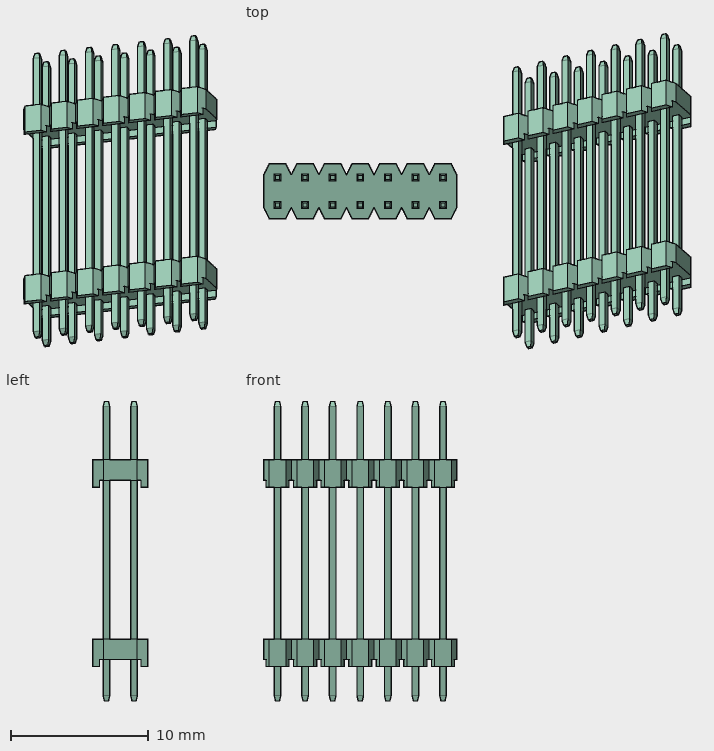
import cadquery as cq

pitch = 2.0
columns = 7
rows = 2

pin_length = 21.75
pin_width = 0.5
tip_width = 0.3
tip_length = 0.4

strip_length = columns * pitch
strip_depth = rows * pitch
strip_height = pitch
channel_width = 1.5 * pitch
channel_height = strip_height / 4

notch_half_width = pitch / 5
notch_depth = 2 * notch_half_width

lower_pin_exposure = 2.5
upper_pin_exposure = 4.25

lower_strip_z = lower_pin_exposure
upper_strip_z = pin_length - upper_pin_exposure - strip_height


def make_notch(x, side):
    """V-notch cutter in the long side at y = side * strip_depth / 2."""
    edge_y = side * strip_depth / 2
    corners = [
        (x - notch_half_width, edge_y),
        (x + notch_half_width, edge_y),
        (x, edge_y - side * notch_depth),
    ]
    return cq.Workplane("XY").polyline(corners).close().extrude(strip_height)


def make_strip():
    """Notched insulator strip standing on z = 0."""
    strip = cq.Workplane("XY").box(strip_length, strip_depth, strip_height, centered=(True, True, False))
    channel = cq.Workplane("XY").box(
        strip_length, channel_width, channel_height, centered=(True, True, False)
    )
    strip = strip.cut(channel)
    for boundary in range(columns + 1):
        x = boundary * pitch - strip_length / 2
        for side in (-1, 1):
            strip = strip.cut(make_notch(x, side))
    return strip


def make_tip():
    """Tapered pin end, wide at z = 0 and narrow at the top."""
    return (
        cq.Workplane("XY")
        .rect(pin_width, pin_width)
        .workplane(offset=tip_length)
        .rect(tip_width, tip_width)
        .loft(ruled=True)
    )


def make_pin():
    """Full-length pin standing on z = 0."""
    shaft_length = pin_length - 2 * tip_length
    shaft = cq.Workplane("XY").box(pin_width, pin_width, shaft_length, centered=(True, True, False))
    shaft = shaft.translate((0, 0, tip_length))
    upper_tip = make_tip().translate((0, 0, pin_length - tip_length))
    lower_tip = make_tip().mirror("XY").translate((0, 0, tip_length))
    return shaft.union(upper_tip).union(lower_tip)


strip = make_strip()
result = strip.translate((0, 0, lower_strip_z)).union(strip.translate((0, 0, upper_strip_z)))

pin = make_pin()
for column in range(columns):
    for row in range(rows):
        x = (column - (columns - 1) / 2) * pitch
        y = (row - (rows - 1) / 2) * pitch
        result = result.union(pin.translate((x, y, 0)))